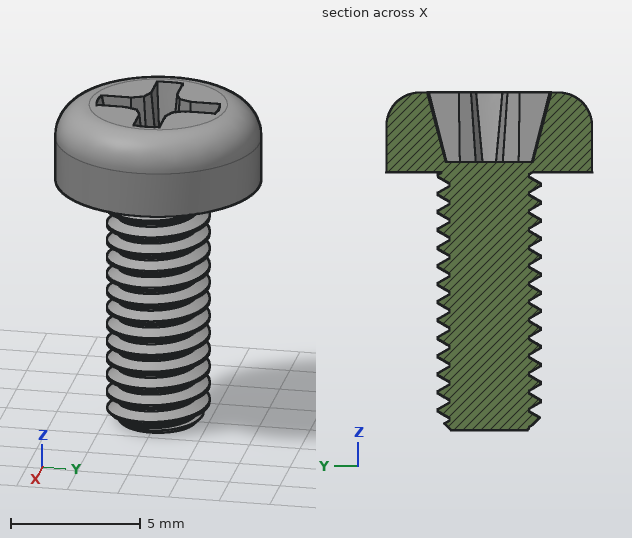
import cadquery as cq
import math

TOTAL_LENGTH = 13.1
HEAD_DIAMETER = 8.0
HEAD_HEIGHT = 3.1
HEAD_ROUNDING = 1.32
SHANK_LENGTH = TOTAL_LENGTH - HEAD_HEIGHT

MAJOR_RADIUS = 4.0 / 2
ROOT_RADIUS = 3.09 / 2
FULL_TURNS = 14
FULL_TURNS_LENGTH = 9.79
PITCH = FULL_TURNS_LENGTH / FULL_TURNS
CREST_WIDTH = PITCH / 8
FLANK_ANGLE = 30.0
CREST_HEIGHT_AT_X = 0.6
TIP_RADIUS = 1.48
CUT_CLEARANCE = 0.04
LEAD_IN_TURNS = 2.5

RECESS_DEPTH = 2.7
RECESS_TOP_RADIUS = 2.4
RECESS_FLOOR_RADIUS = 1.68
TOP_ARM = (0.51, 1.18, 0.71)
FLOOR_ARM = (0.26, 1.14, 0.52)


def make_head():
    head = cq.Workplane("XY").workplane(offset=SHANK_LENGTH).circle(HEAD_DIAMETER / 2).extrude(HEAD_HEIGHT)
    return head.faces(">Z").edges().fillet(HEAD_ROUNDING)


def make_thread_groove():
    """Helical groove, running past both ends of the shank."""
    slope = math.tan(math.radians(FLANK_ANGLE))
    half_gap = (PITCH - CREST_WIDTH) / 2
    half_root = half_gap - (MAJOR_RADIUS - ROOT_RADIUS) * slope
    half_mouth = half_gap + CUT_CLEARANCE * slope
    outer_radius = MAJOR_RADIUS + CUT_CLEARANCE

    start = CREST_HEIGHT_AT_X - LEAD_IN_TURNS * PITCH
    turns = math.ceil((SHANK_LENGTH - start) / PITCH) + 1
    section = [
        (ROOT_RADIUS, start - half_root),
        (outer_radius, start - half_mouth),
        (outer_radius, start + half_mouth),
        (ROOT_RADIUS, start + half_root),
    ]
    helices = [
        cq.Wire.makeHelix(PITCH, turns * PITCH, radius, cq.Vector(0, 0, height)).Edges()[0]
        for radius, height in section
    ]
    sides = [cq.Face.makeRuledSurface(helices[i - 1], helices[i]) for i in range(len(helices))]
    ends = [
        cq.Face.makeFromWires(
            cq.Wire.makePolygon([cq.Vector(radius, 0, height + rise) for radius, height in section], close=True)
        )
        for rise in (0, turns * PITCH)
    ]
    return cq.Workplane(cq.Solid.makeSolid(cq.Shell.makeShell(sides + ends)))


def make_threaded_shank():
    """Threaded rod trimmed to a 45 degree chamfer at the tip."""
    rod = cq.Workplane("XY").circle(MAJOR_RADIUS).extrude(SHANK_LENGTH).cut(make_thread_groove())
    outer_radius = MAJOR_RADIUS + CUT_CLEARANCE
    envelope = (
        cq.Workplane("XZ")
        .lineTo(TIP_RADIUS, 0)
        .lineTo(outer_radius, outer_radius - TIP_RADIUS)
        .lineTo(outer_radius, SHANK_LENGTH)
        .lineTo(0, SHANK_LENGTH)
        .close()
        .revolve()
    )
    return rod.intersect(envelope)


def cross_points(arm, reach):
    """Corners of a four-armed cross with a stepped-out corner between neighbouring arms."""
    half_width, shoulder, corner = arm
    first_arm = [(reach, -half_width), (reach, half_width), (shoulder, half_width),
                 (corner, corner), (half_width, shoulder)]
    points = []
    for quarter in range(4):
        turn = quarter * math.pi / 2
        c, s = math.cos(turn), math.sin(turn)
        points += [(x * c - y * s, x * s + y * c) for x, y in first_arm]
    return points


def make_recess():
    """Tapered cross whose arm ends lie on a cone."""
    floor = TOTAL_LENGTH - RECESS_DEPTH
    cross = (
        cq.Workplane("XY").workplane(offset=floor)
        .polyline(cross_points(FLOOR_ARM, RECESS_TOP_RADIUS)).close()
        .workplane(offset=RECESS_DEPTH)
        .polyline(cross_points(TOP_ARM, RECESS_TOP_RADIUS)).close()
        .loft(ruled=True)
    )
    cone = (
        cq.Workplane("XY").workplane(offset=floor).circle(RECESS_FLOOR_RADIUS)
        .workplane(offset=RECESS_DEPTH).circle(RECESS_TOP_RADIUS)
        .loft(ruled=True)
    )
    return cross.intersect(cone)


result = make_head().cut(make_recess()).union(make_threaded_shank())